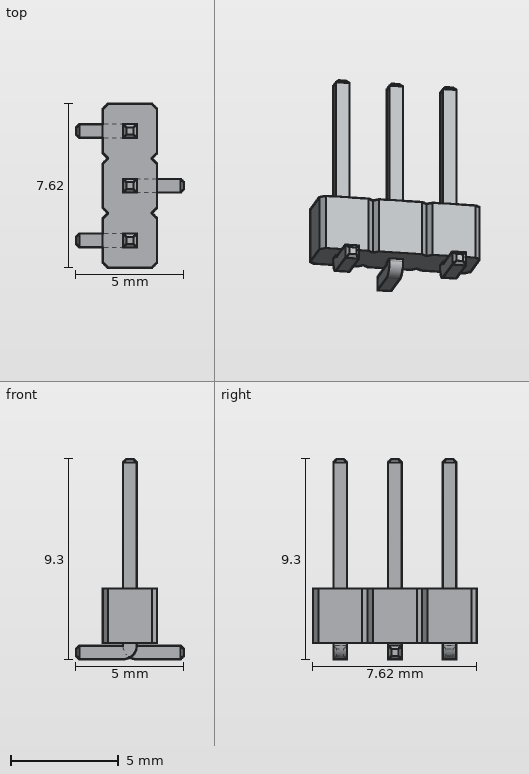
import cadquery as cq

pin_count = 3
pitch = 2.54
corner_chamfer = 0.25
pin_width = 0.64
tip_length = 0.16
tip_inset = 0.16
total_height = 9.3
foot_reach = 2.5
standoff = 0.11

half_pin = pin_width / 2
housing_bottom = pin_width + standoff


def housing_block(y):
    """One chamfered cube of the housing, centred on a pin."""
    return (
        cq.Workplane("XY", origin=(0, y, housing_bottom))
        .box(pitch, pitch, pitch, centered=(True, True, False))
        .edges("|Z")
        .chamfer(corner_chamfer)
    )


def pin_tip(plane):
    """Square frustum that starts on the plane and narrows along its normal."""
    end_width = pin_width - 2 * tip_inset
    return (
        cq.Workplane(plane)
        .rect(pin_width, pin_width)
        .workplane(offset=tip_length)
        .rect(end_width, end_width)
        .loft(ruled=True)
    )


def bent_pin(y, side):
    """Upright pin whose foot points along X; side is +1 or -1."""
    post_top = total_height - tip_length
    foot_end = side * (foot_reach - tip_length)
    inner_x = side * half_pin
    outer_x = -inner_x

    bend_offset = pin_width * 0.5 ** 0.5
    bend_middle = (inner_x - side * bend_offset, pin_width - bend_offset)
    body = (
        cq.Workplane("XZ", origin=(0, y, 0))
        .moveTo(inner_x, pin_width)
        .lineTo(inner_x, post_top)
        .lineTo(outer_x, post_top)
        .lineTo(outer_x, pin_width)
        .threePointArc(bend_middle, (inner_x, 0))
        .lineTo(foot_end, 0)
        .lineTo(foot_end, pin_width)
        .close()
        .extrude(half_pin, both=True)
    )
    top_plane = cq.Plane(origin=(0, y, post_top), xDir=(1, 0, 0), normal=(0, 0, 1))
    foot_plane = cq.Plane(origin=(foot_end, y, half_pin), xDir=(0, 1, 0), normal=(side, 0, 0))
    return body.union(pin_tip(top_plane)).union(pin_tip(foot_plane))


pin_positions = [(i - (pin_count - 1) / 2) * pitch for i in range(pin_count)]

result = housing_block(pin_positions[0])
for y in pin_positions[1:]:
    result = result.union(housing_block(y))

for i, y in enumerate(pin_positions):
    foot_side = -1 if i % 2 == 0 else 1
    result = result.union(bent_pin(y, foot_side))